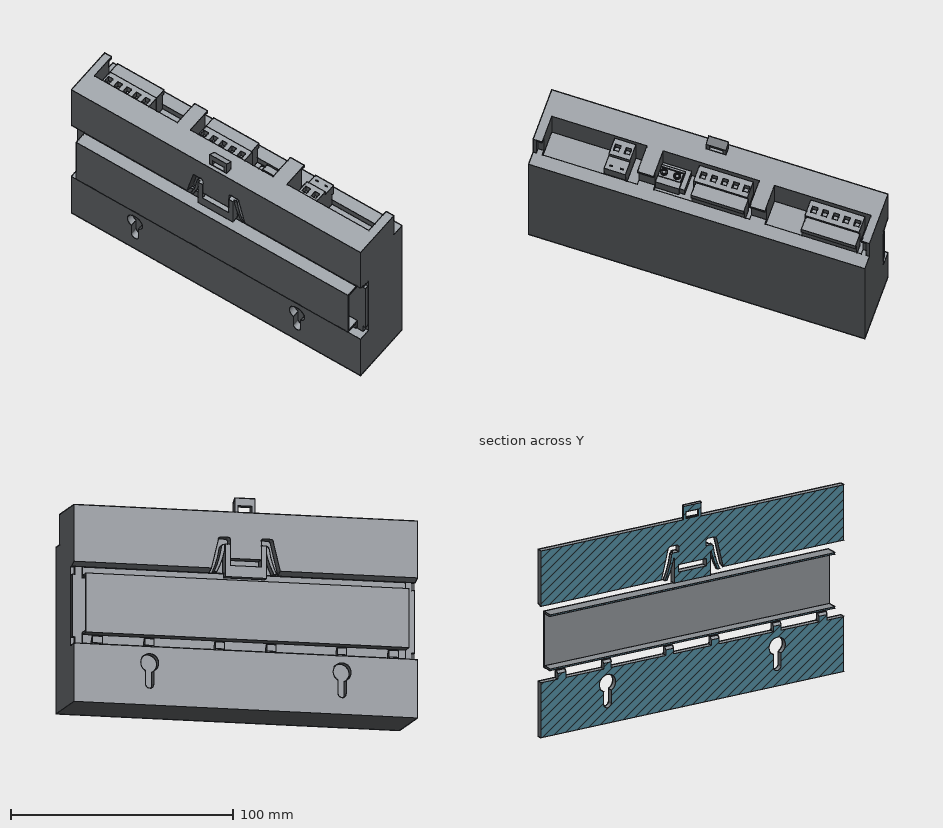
import cadquery as cq


LENGTH = 159.9
DEPTH = 32.3
HEIGHT = 90.2
STEP_Y = 25.9
STEP_Z = 76.3

CHANNEL_Y = 4.3
CHANNEL_BOTTOM_Z = 26.7
CHANNEL_TOP_Z = 62.7
CHANNEL_LIP_Z = 64.1
END_RELIEF_Y = 6.2
END_RELIEF_X = 0.3
CORNER_X = 1.6
CORNER_Z = 3.7

RAIL_LENGTH = 150.3
RAIL_Z = 45.0
RAIL_FLANGE_HEIGHT = 34.9
RAIL_HAT_HEIGHT = 27.0
RAIL_DEPTH = 7.4
RAIL_SHEET = 1.0

HOOK_XS = (24.0, 89.5, 137.8)
HOOK_WIDTHS = (4.2, 4.2, 4.5)
HOOK_TOP_Z = 30.5
HOOK_FRONT_Y = 0.5
HOOK_CREST_Y = 1.6
HOOK_SHOULDER_Z = 28.3
HOOK_FOOT_Z = 27.3
HOOK_FOOT_Y = 0.2

LATCH_HALF_WIDTH = 9.6
LATCH_INNER_HALF = 7.2
LATCH_BOTTOM_Z = 60.5
LATCH_BRIDGE_Z = 65.5
LATCH_WINDOW_Z = 68.9
LATCH_ARM_TOP_Z = 75.3
LATCH_DEPTH = 5.3
LATCH_FRONT_Y = -0.3
POCKET_TOP_Z = 78.5
POCKET_TOP_HALF = 12.5
POCKET_BOTTOM_HALF = 16.0
POCKET_CORNER_R = 1.1
LEG_FRONT_Y = 1.0
LEG_SHOULDER_X = 10.4
LEG_OUTER = ((11.0, 74.5), (12.3, 68.6), (14.5, CHANNEL_TOP_Z))
LEG_INNER = ((13.3, CHANNEL_TOP_Z), (11.0, 67.8), (LATCH_HALF_WIDTH, 72.9))

TAB_WIDTH = 9.5
TAB_FRONT_Y = 1.8
TAB_BACK_Y = 5.3
TAB_TOP_Z = 97.0
TAB_BACK_Z = 95.0
TAB_HOLE_WIDTH = 6.4
TAB_HOLE_BOTTOM_Z = 90.5
TAB_HOLE_TOP_Z = 93.5

KEYHOLE_SPACING = 89.5
KEYHOLE_HEAD_Z = 19.3
KEYHOLE_HEAD_R = 4.2
KEYHOLE_SLOT_R = 1.9
KEYHOLE_SLOT_Z = 9.6
KEYHOLE_DEPTH = 3.7

BAYS = ((-76.1, -30.2), (-23.0, 22.7), (30.4, 75.6))
BAY_FRONT_Y = 12.5
BAY_FLOOR_Z = 73.0
POST_BACK_Y = 23.7
LIP_THICKNESS = 1.3
END_WALL = 1.6

PLUG_BACK_Y = 27.2
PLUG_STEP_Y = 20.6
PLUG_BACK_TOP_Z = 85.5
LONG_PLUG_TOP_Z = 86.6
SHORT_PLUG_TOP_Z = 87.6
NUB_MIDDLE_Z = 82.7
NUB_BOTTOM_Z = 79.8
LEFT_PLUG = ((-73.7, -48.0), (-73.2, -47.5), -71.0)
MIDDLE_PLUG = ((-20.6, 4.5), (-20.1, 5.5), -18.2)
RIGHT_PLUG = ((35.7, 45.7), (35.7, 45.7), 38.0)
LONG_PLUG_PINS = 5
SHORT_PLUG_PINS = 2
PIN_PITCH = 5.1
PIN_WIDTH = 2.5
PIN_HEIGHT = 3.0
PIN_Y = 16.6
PIN_DEPTH = 3.2
RELEASE_SLOT = (1.3, 0.3)
RELEASE_SLOT_Y = 25.0
RELEASE_SLOT_DEPTH = 0.8

SCREW_BASE = (9.1, BAY_FRONT_Y, 22.4)
SCREW_BASE_Z = 77.5
SCREW_BODY = (11.5, 14.2, 23.3)
SCREW_BODY_Z = 79.1
SCREW_TRAY = (12.0, 15.2, 20.0)
SCREW_TRAY_DEPTH = 0.8
SCREW_XS = (14.4, 20.6)
SCREW_Y = 17.3
SCREW_R = 1.6
SCREW_SOCKET_R = 1.0


def block(x, y, z):
    """Box given by its (low, high) limits along each axis."""
    size = (x[1] - x[0], y[1] - y[0], z[1] - z[0])
    return cq.Workplane("XY").box(*size, centered=False).translate((x[0], y[0], z[0]))


def along_x(points, length, centre=0.0):
    """Extrude a (Y, Z) outline symmetrically about X = centre."""
    outline = cq.Workplane("YZ").polyline(points).close()
    return outline.extrude(length / 2, both=True).translate((centre, 0, 0))


def into_face(sketch, front_y, back_y):
    """Extrude an (X, Z) outline from one depth to another."""
    return sketch.extrude(front_y - back_y).translate((0, front_y, 0))


def both_ends(solid):
    return solid.union(solid.mirror("YZ"))


def housing():
    return along_x(
        [
            (0, 0),
            (DEPTH, 0),
            (DEPTH, STEP_Z),
            (STEP_Y, STEP_Z),
            (STEP_Y, HEIGHT),
            (0, HEIGHT),
            (0, CHANNEL_LIP_Z),
            (CHANNEL_Y, CHANNEL_TOP_Z),
            (CHANNEL_Y, CHANNEL_BOTTOM_Z),
            (0, CHANNEL_BOTTOM_Z),
        ],
        LENGTH,
    )


def channel_end_reliefs():
    end_x = LENGTH / 2
    depth = (CHANNEL_Y, END_RELIEF_Y)
    relief = block((end_x - END_RELIEF_X, end_x), depth, (CHANNEL_BOTTOM_Z, CHANNEL_TOP_Z))
    for low_z in (CHANNEL_BOTTOM_Z, CHANNEL_TOP_Z - CORNER_Z):
        relief = relief.union(block((end_x - CORNER_X, end_x), depth, (low_z, low_z + CORNER_Z)))
    return both_ends(relief)


def rail():
    back = CHANNEL_Y
    flange_front = back - RAIL_SHEET
    web_front = back - RAIL_DEPTH
    web_back = web_front + RAIL_SHEET
    half_flange = RAIL_FLANGE_HEIGHT / 2
    half_hat = RAIL_HAT_HEIGHT / 2
    upper = [
        (web_back, half_hat - RAIL_SHEET),
        (back, half_hat - RAIL_SHEET),
        (back, half_flange),
        (flange_front, half_flange),
        (flange_front, half_hat),
        (web_front, half_hat),
    ]
    lower = [(y, -z) for y, z in reversed(upper)]
    return along_x(upper + lower, RAIL_LENGTH).translate((0, 0, RAIL_Z))


def hooks():
    flange_front = CHANNEL_Y - RAIL_SHEET
    outline = [
        (HOOK_FOOT_Y, CHANNEL_BOTTOM_Z),
        (HOOK_FOOT_Y, HOOK_FOOT_Z),
        (HOOK_FRONT_Y, HOOK_FOOT_Z),
        (HOOK_FRONT_Y, HOOK_TOP_Z),
        (HOOK_CREST_Y, HOOK_TOP_Z),
        (flange_front, HOOK_SHOULDER_Z),
        (flange_front, CHANNEL_BOTTOM_Z),
    ]
    row = cq.Workplane()
    for spacing, width in zip(HOOK_XS, HOOK_WIDTHS):
        row = row.union(along_x(outline, width, spacing / 2))
    return both_ends(row)


def latch_pocket():
    side = into_face(
        cq.Workplane("XZ").polyline(
            [
                (LATCH_INNER_HALF, CHANNEL_TOP_Z),
                (LATCH_INNER_HALF, POCKET_TOP_Z),
                (POCKET_TOP_HALF, POCKET_TOP_Z),
                (POCKET_BOTTOM_HALF, CHANNEL_LIP_Z),
                (POCKET_BOTTOM_HALF, CHANNEL_TOP_Z),
            ]
        ).close(),
        0,
        LATCH_DEPTH,
    )
    side = side.edges("|Y").edges(">Z").fillet(POCKET_CORNER_R)
    window = block(
        (-LATCH_INNER_HALF, LATCH_INNER_HALF), (0, LATCH_DEPTH), (CHANNEL_TOP_Z, LATCH_WINDOW_Z)
    )
    return both_ends(side).union(window)


def latch():
    depth = (LATCH_FRONT_Y, LATCH_DEPTH)
    arm = block((LATCH_INNER_HALF, LATCH_HALF_WIDTH), depth, (CHANNEL_TOP_Z, LATCH_ARM_TOP_Z))
    leg = into_face(
        cq.Workplane("XZ")
        .moveTo(LATCH_HALF_WIDTH, LATCH_ARM_TOP_Z)
        .lineTo(LEG_SHOULDER_X, LATCH_ARM_TOP_Z)
        .lineTo(*LEG_OUTER[0])
        .threePointArc(*LEG_OUTER[1:])
        .lineTo(*LEG_INNER[0])
        .threePointArc(*LEG_INNER[1:])
        .close(),
        LEG_FRONT_Y,
        LATCH_DEPTH,
    )
    width = (-LATCH_HALF_WIDTH, LATCH_HALF_WIDTH)
    bridge = block(width, depth, (CHANNEL_TOP_Z, LATCH_BRIDGE_Z))
    catch = block(width, (LATCH_FRONT_Y, CHANNEL_Y - RAIL_SHEET), (LATCH_BOTTOM_Z, CHANNEL_TOP_Z))
    return both_ends(arm.union(leg)).union(bridge).union(catch)


def pull_tab():
    tab = along_x(
        [
            (TAB_FRONT_Y, HEIGHT),
            (TAB_FRONT_Y, TAB_TOP_Z),
            (TAB_BACK_Y, TAB_BACK_Z),
            (TAB_BACK_Y, HEIGHT),
        ],
        TAB_WIDTH,
    )
    half_hole = TAB_HOLE_WIDTH / 2
    hole = block((-half_hole, half_hole), (0, STEP_Y), (TAB_HOLE_BOTTOM_Z, TAB_HOLE_TOP_Z))
    return tab.cut(hole)


def keyholes():
    x = KEYHOLE_SPACING / 2
    head = cq.Workplane("XZ").center(x, KEYHOLE_HEAD_Z).circle(KEYHOLE_HEAD_R)
    end = cq.Workplane("XZ").center(x, KEYHOLE_SLOT_Z).circle(KEYHOLE_SLOT_R)
    slot = block(
        (x - KEYHOLE_SLOT_R, x + KEYHOLE_SLOT_R), (0, KEYHOLE_DEPTH), (KEYHOLE_SLOT_Z, KEYHOLE_HEAD_Z)
    )
    keyhole = into_face(head, 0, KEYHOLE_DEPTH).union(into_face(end, 0, KEYHOLE_DEPTH)).union(slot)
    return both_ends(keyhole)


def terminal_bays():
    inner_x = LENGTH / 2 - END_WALL
    bays = block((-inner_x, inner_x), (POST_BACK_Y, STEP_Y), (STEP_Z, HEIGHT - LIP_THICKNESS))
    for x_range in BAYS:
        bays = bays.union(block(x_range, (BAY_FRONT_Y, STEP_Y), (BAY_FLOOR_Z, HEIGHT)))
    return bays


def pin_row(first_x, y, count):
    return [(first_x + i * PIN_PITCH, y) for i in range(count)]


def plug(back_x, front_x, first_pin_x, pin_count, front_top_z, nub_bottom_z):
    """Stepped terminal block with a row of square wire openings and a nub at the back."""
    body = block(back_x, (PLUG_STEP_Y, STEP_Y), (BAY_FLOOR_Z, PLUG_BACK_TOP_Z))
    nub = block(back_x, (STEP_Y, PLUG_BACK_Y), (nub_bottom_z, PLUG_BACK_TOP_Z))
    front = block(front_x, (BAY_FRONT_Y, PLUG_STEP_Y), (BAY_FLOOR_Z, front_top_z))
    pins = (
        cq.Workplane("XY", origin=(0, 0, front_top_z))
        .pushPoints(pin_row(first_pin_x, PIN_Y, pin_count))
        .rect(PIN_WIDTH, PIN_HEIGHT)
        .extrude(-PIN_DEPTH)
    )
    return body.union(nub).union(front).cut(pins)


def two_pole_plug():
    solid = plug(*RIGHT_PLUG, SHORT_PLUG_PINS, SHORT_PLUG_TOP_Z, NUB_BOTTOM_Z)
    slots = (
        cq.Workplane("XY", origin=(0, 0, PLUG_BACK_TOP_Z))
        .pushPoints(pin_row(RIGHT_PLUG[2], RELEASE_SLOT_Y, SHORT_PLUG_PINS))
        .rect(*RELEASE_SLOT)
        .extrude(-RELEASE_SLOT_DEPTH)
    )
    return solid.cut(slots)


def screw_terminal():
    end_x = BAYS[1][1]

    def tier(limits, z):
        start_x, front_y, back_y = limits
        return block((start_x, end_x), (front_y, back_y), z)

    tray_z = SCREW_BODY_Z - SCREW_TRAY_DEPTH
    base = tier(SCREW_BASE, (BAY_FLOOR_Z, SCREW_BASE_Z))
    terminal = base.union(tier(SCREW_BODY, (BAY_FLOOR_Z, SCREW_BODY_Z)))
    terminal = terminal.cut(tier(SCREW_TRAY, (tray_z, SCREW_BODY_Z)))
    screws = (
        cq.Workplane("XY", origin=(0, 0, tray_z))
        .pushPoints([(x, SCREW_Y) for x in SCREW_XS])
        .circle(SCREW_R)
        .circle(SCREW_SOCKET_R)
        .extrude(SCREW_TRAY_DEPTH)
    )
    return terminal.union(screws)


result = housing()
for cutter in (channel_end_reliefs(), latch_pocket(), keyholes(), terminal_bays()):
    result = result.cut(cutter)

additions = (
    rail(),
    hooks(),
    latch(),
    pull_tab(),
    plug(*LEFT_PLUG, LONG_PLUG_PINS, LONG_PLUG_TOP_Z, NUB_MIDDLE_Z),
    plug(*MIDDLE_PLUG, LONG_PLUG_PINS, LONG_PLUG_TOP_Z, NUB_MIDDLE_Z),
    two_pole_plug(),
    screw_terminal(),
)
for addition in additions:
    result = result.union(addition)